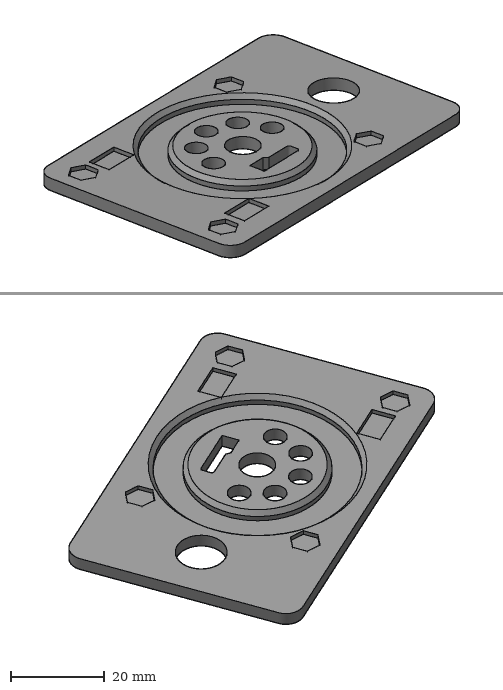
import cadquery as cq
import math

plate_width = 53.75
plate_length = 79.75
plate_thickness = 3.0
corner_radius = 4

end_hole_diameter = 11.0
end_hole_y = 27.9

groove_y = -3.2
groove_outer_diameter = 44.5
groove_inner_diameter = 31.75
groove_depth = 2.2
groove_bevel = 1.0

hub_y = -3.0
hub_hole_diameter = 7.8
small_hole_diameter = 5.0
small_hole_circle_radius = 10.0
small_hole_angles = range(90, 271, 45)

slot_right = 10.6
slot_width = 3.0
slot_foot_width = 3.9
slot_top = 3.1
slot_bottom = -9.0
slot_step_y = -3.7
slot_corner_radius = 0.6

pocket_depth = 1.0
hexagon_corner_diameter = 6.8
hexagon_x = 19.1
hexagon_rows_y = (16.0, -33.6)
rectangle_width = 5.4
rectangle_x = 18.3
left_rectangle_length = 8.4
left_rectangle_y = -25.0
right_rectangle_length = 8.3
right_rectangle_y = -24.6


def top_sketch(x, y):
    """Workplane on the top face, centred at (x, y)."""
    return cq.Workplane("XY", origin=(x, y, plate_thickness))


def through_hole(x, y, diameter):
    return top_sketch(x, y).circle(diameter / 2).extrude(-plate_thickness)


def groove_cutter():
    """Ring of revolution: straight walls below, 45 degree bevels at the top."""
    inner = groove_inner_diameter / 2
    outer = groove_outer_diameter / 2
    floor_z = plate_thickness - groove_depth
    bevel_z = plate_thickness - groove_bevel
    profile = [
        (inner, floor_z),
        (outer, floor_z),
        (outer, bevel_z),
        (outer + groove_bevel, plate_thickness),
        (inner - groove_bevel, plate_thickness),
        (inner, bevel_z),
    ]
    axis_start = (0, 0)
    axis_end = (0, 1)
    sketch = cq.Workplane("XZ", origin=(0, groove_y, 0)).polyline(profile).close()
    return sketch.revolve(360, axis_start, axis_end)


def slot_cutter():
    left = slot_right - slot_width
    foot_left = slot_right - slot_foot_width
    step = left - foot_left
    outline = [
        (foot_left, slot_bottom),
        (slot_right, slot_bottom),
        (slot_right, slot_top),
        (left, slot_top),
        (left, slot_step_y),
        (foot_left, slot_step_y - step),
    ]
    slot = cq.Workplane("XY").polyline(outline).close().extrude(plate_thickness)
    return slot.edges("|Z and >Y").fillet(slot_corner_radius)


def hexagon_pocket(x, y):
    return top_sketch(x, y).polygon(6, hexagon_corner_diameter).extrude(-pocket_depth)


def rectangle_pocket(x, y, length):
    return top_sketch(x, y).rect(rectangle_width, length).extrude(-pocket_depth)


plate = cq.Workplane("XY").box(plate_width, plate_length, plate_thickness, centered=(True, True, False))
result = plate.edges("|Z").fillet(corner_radius)

result = result.cut(through_hole(0, end_hole_y, end_hole_diameter))
result = result.cut(groove_cutter())
result = result.cut(through_hole(0, hub_y, hub_hole_diameter))

for angle in small_hole_angles:
    hole_x = small_hole_circle_radius * math.cos(math.radians(angle))
    hole_y = hub_y + small_hole_circle_radius * math.sin(math.radians(angle))
    result = result.cut(through_hole(hole_x, hole_y, small_hole_diameter))

result = result.cut(slot_cutter())

for row_y in hexagon_rows_y:
    for column_x in (-hexagon_x, hexagon_x):
        result = result.cut(hexagon_pocket(column_x, row_y))

result = result.cut(rectangle_pocket(-rectangle_x, left_rectangle_y, left_rectangle_length))
result = result.cut(rectangle_pocket(rectangle_x, right_rectangle_y, right_rectangle_length))